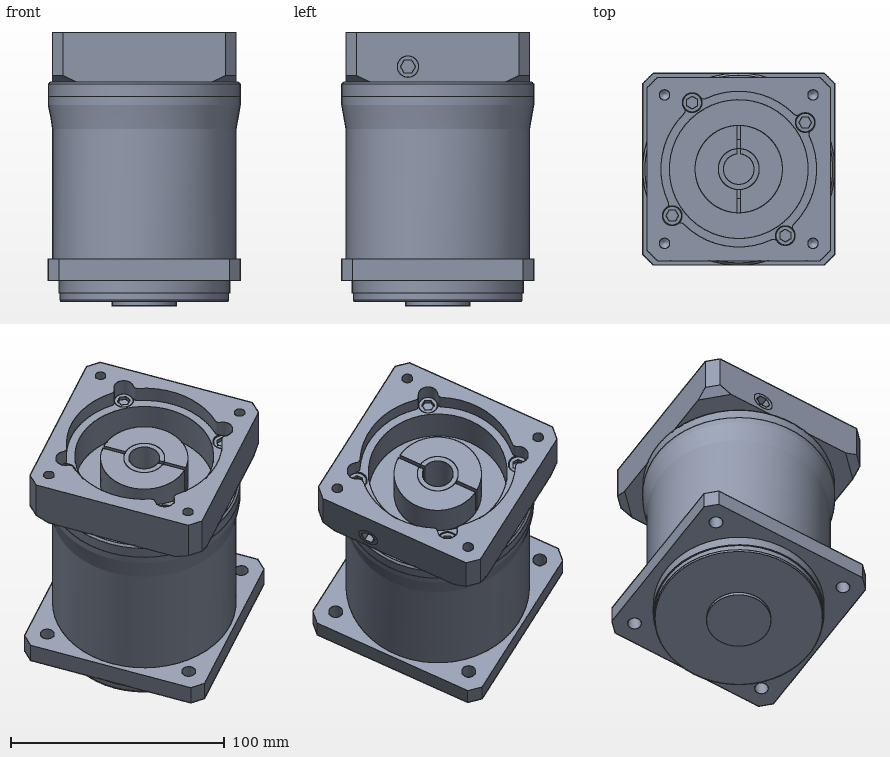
import cadquery as cq
import math

TOTAL_HEIGHT = 128.0
BODY_BOTTOM = 1.9
PILOT_STEP_Z = 6.0
FLANGE_BOTTOM = 11.8
FLANGE_TOP = 22.0
CONE_BOTTOM = 82.7
CONE_TOP = 94.0
ADAPTER_BOTTOM = 97.9
RIM_TOP = 104.8
SPIGOT_TOP = 101.0
LEDGE_Z = TOTAL_HEIGHT - 8.2
COLLAR_TOP = TOTAL_HEIGHT - 9.5

BODY_RADIUS = 43.0
RIM_RADIUS = 44.99
FLANGE_SIDE = 2 * RIM_RADIUS
CORNER_CHAMFER = 5.0
PILOT_RADIUS = 40.0
PILOT_TIP_RADIUS = 39.5
PILOT_TIP_CHAMFER_WIDTH = 0.4
PILOT_TIP_CHAMFER_HEIGHT = 0.9
SHAFT_END_RADIUS = 15.1
FLANGE_HOLE_RADIUS = 3.2
FLANGE_HOLE_SPACING = 70.7
SPIGOT_RADIUS = 32.5
HUB_RADIUS = 13.8
HUB_TOP = SPIGOT_TOP + 3.8

ADAPTER_SIDE = 2 * BODY_RADIUS
RIM_CHAMFER = 1.0
UNDERCUT_HEIGHT = 3.0
UNDERCUT_DEPTH = 4.4
REGISTER_RADIUS = 36.5
MOTOR_HOLE_RADIUS = 2.4
MOTOR_HOLE_SPACING = 69.5
MOTOR_HOLE_DEPTH = 12.8
DRILL_POINT_ANGLE = 118.0

SCREW_COUNT = 4
SCREW_CIRCLE_RADIUS = 38.0
FIRST_SCREW_ANGLE = 35.0
NOTCH_RADIUS = 4.6
NOTCH_FILLET = 2.0
HEAD_RADIUS = 4.4
HEAD_TOP = LEDGE_Z - 0.5
HEAD_GROOVE_BOTTOM = HEAD_TOP - 1.9
HEAD_SOCKET_FLATS = 5.1
HEAD_SOCKET_DEPTH = 3.2

PLUG_RADIUS = 5.0
PLUG_LENGTH = 7.7
PLUG_Y = 14.0
PLUG_Z = 112.0
PLUG_SOCKET_FLATS = 6.1
PLUG_SOCKET_DEPTH = 3.8

COLLAR_RADIUS = 20.5
COLLAR_WEB = 1.9
SLOT_WIDTH = 1.5
BUSHING_RADIUS = 9.6
BUSHING_BORE_RADIUS = 7.2
BUSHING_BOTTOM = 89.6


def cylinder(radius, bottom, top):
    return cq.Workplane("XY").workplane(offset=bottom).circle(radius).extrude(top - bottom)


def chamfered_plate(side, bottom, top):
    plate = cq.Workplane("XY").workplane(offset=bottom).rect(side, side).extrude(top - bottom)
    return plate.edges("|Z").chamfer(CORNER_CHAMFER)


def across_corners(flats):
    """Corner-to-corner size of a hexagon with the given size across its flats."""
    return flats / math.cos(math.pi / 6)


def at_screws(shape):
    """Copies of a shape that is drawn about the Z axis, one on each adapter screw axis."""
    copies = cq.Workplane("XY")
    for index in range(SCREW_COUNT):
        angle = FIRST_SCREW_ANGLE + index * 360 / SCREW_COUNT
        placed = shape.translate((SCREW_CIRCLE_RADIUS, 0, 0)).rotate((0, 0, 0), (0, 0, 1), angle)
        copies = copies.add(placed)
    return copies.combine()


def make_gearbox():
    """Turned body with the output flange, and a spigot and hub on its input end."""
    profile = [
        (0, BODY_BOTTOM),
        (PILOT_TIP_RADIUS - PILOT_TIP_CHAMFER_WIDTH, BODY_BOTTOM),
        (PILOT_TIP_RADIUS, BODY_BOTTOM + PILOT_TIP_CHAMFER_HEIGHT),
        (PILOT_TIP_RADIUS, PILOT_STEP_Z),
        (PILOT_RADIUS, PILOT_STEP_Z),
        (PILOT_RADIUS, FLANGE_BOTTOM),
        (BODY_RADIUS, FLANGE_BOTTOM),
        (BODY_RADIUS, CONE_BOTTOM),
        (RIM_RADIUS, CONE_TOP),
        (RIM_RADIUS, ADAPTER_BOTTOM),
        (SPIGOT_RADIUS, ADAPTER_BOTTOM),
        (SPIGOT_RADIUS, SPIGOT_TOP),
        (0, SPIGOT_TOP),
    ]
    body = cq.Workplane("XZ").polyline(profile).close().revolve(360, (0, 0, 0), (0, 1, 0))
    shaft_end = cylinder(SHAFT_END_RADIUS, 0, BODY_BOTTOM)
    flange = chamfered_plate(FLANGE_SIDE, FLANGE_BOTTOM, FLANGE_TOP)
    flange_holes = (
        cq.Workplane("XY").workplane(offset=FLANGE_BOTTOM)
        .rect(FLANGE_HOLE_SPACING, FLANGE_HOLE_SPACING, forConstruction=True).vertices()
        .circle(FLANGE_HOLE_RADIUS).extrude(FLANGE_TOP - FLANGE_BOTTOM)
    )
    hub = cylinder(HUB_RADIUS, SPIGOT_TOP, HUB_TOP)
    bushing_seat = cylinder(BUSHING_RADIUS, BUSHING_BOTTOM, HUB_TOP)
    return body.union(shaft_end).union(flange).cut(flange_holes).union(hub).cut(bushing_seat)


def make_register_pocket():
    """Motor register with a rounded-in notch for each screw head."""
    register = cylinder(REGISTER_RADIUS, LEDGE_Z, TOTAL_HEIGHT)
    register = register.rotate((0, 0, 0), (0, 0, 1), FIRST_SCREW_ANGLE)
    notch = cylinder(NOTCH_RADIUS, LEDGE_Z, TOTAL_HEIGHT).rotate((0, 0, 0), (0, 0, 1), 180)
    return register.union(at_screws(notch)).edges("|Z").fillet(NOTCH_FILLET)


def make_motor_holes():
    """Blind threaded holes with a drill point."""
    point_depth = MOTOR_HOLE_RADIUS / math.tan(math.radians(DRILL_POINT_ANGLE / 2))
    profile = [
        (0, 0),
        (MOTOR_HOLE_RADIUS, 0),
        (MOTOR_HOLE_RADIUS, -MOTOR_HOLE_DEPTH),
        (0, -MOTOR_HOLE_DEPTH - point_depth),
    ]
    hole = cq.Workplane("XZ").polyline(profile).close().revolve(360, (0, 0, 0), (0, 1, 0)).val()
    return (
        cq.Workplane("XY").workplane(offset=TOTAL_HEIGHT)
        .rect(MOTOR_HOLE_SPACING, MOTOR_HOLE_SPACING, forConstruction=True).vertices()
        .eachpoint(lambda location: hole.moved(location), combine=False)
    )


def plug_outer_plane():
    return cq.Workplane("YZ", origin=(-ADAPTER_SIDE / 2, PLUG_Y, PLUG_Z))


def make_plug_blank():
    """Plug without its socket, which is also the shape of its recess in the adapter."""
    return plug_outer_plane().circle(PLUG_RADIUS).extrude(PLUG_LENGTH)


def make_adapter():
    """Square motor plate on a round rim, bored to fit over the spigot of the gearbox."""
    plate = chamfered_plate(ADAPTER_SIDE, RIM_TOP, TOTAL_HEIGHT)
    corner_edges = plate.faces("<Z").edges("not(#X or #Y)")
    plate = corner_edges.chamfer(UNDERCUT_DEPTH, UNDERCUT_HEIGHT)
    rim = cylinder(RIM_RADIUS, ADAPTER_BOTTOM, RIM_TOP).faces(">Z").edges().chamfer(RIM_CHAMFER)
    cavity = cylinder(SPIGOT_RADIUS, ADAPTER_BOTTOM, LEDGE_Z)
    plate = plate.union(rim).cut(cavity).cut(make_register_pocket())
    plate = plate.cut(make_motor_holes()).cut(make_plug_blank())

    head_space = cylinder(NOTCH_RADIUS, HEAD_GROOVE_BOTTOM, LEDGE_Z)
    head = cylinder(HEAD_RADIUS, HEAD_GROOVE_BOTTOM, HEAD_TOP)
    socket = (
        cq.Workplane("XY").workplane(offset=HEAD_TOP)
        .polygon(6, across_corners(HEAD_SOCKET_FLATS)).extrude(-HEAD_SOCKET_DEPTH)
        .rotate((0, 0, 0), (0, 0, 1), -FIRST_SCREW_ANGLE)
    )
    head = head.cut(socket)
    return plate.cut(at_screws(head_space)).union(at_screws(head))


def make_plug():
    socket = plug_outer_plane().polygon(6, across_corners(PLUG_SOCKET_FLATS)).extrude(PLUG_SOCKET_DEPTH)
    return make_plug_blank().cut(socket)


def make_collar():
    """Clamp collar that sits over the hub, slotted across its top down to a thin joining web."""
    slot_floor = SPIGOT_TOP + COLLAR_WEB
    collar = cylinder(COLLAR_RADIUS, SPIGOT_TOP, COLLAR_TOP)
    hub_recess = cylinder(HUB_RADIUS, SPIGOT_TOP, HUB_TOP)
    bore = cylinder(BUSHING_RADIUS, SPIGOT_TOP, COLLAR_TOP)
    slot = (
        cq.Workplane("XY").workplane(offset=slot_floor)
        .rect(SLOT_WIDTH, 2 * COLLAR_RADIUS).extrude(COLLAR_TOP - slot_floor)
    )
    return collar.cut(hub_recess).cut(bore).cut(slot)


def make_bushing():
    """Reducing bushing with a single slit on its +Y side."""
    bushing = cylinder(BUSHING_RADIUS, BUSHING_BOTTOM, COLLAR_TOP)
    bore = cylinder(BUSHING_BORE_RADIUS, BUSHING_BOTTOM, COLLAR_TOP)
    slit = (
        cq.Workplane("XY").workplane(offset=BUSHING_BOTTOM).center(0, BUSHING_RADIUS / 2)
        .rect(SLOT_WIDTH, BUSHING_RADIUS).extrude(COLLAR_TOP - BUSHING_BOTTOM)
    )
    return bushing.cut(bore).cut(slit)


gearbox = make_gearbox()
adapter = make_adapter()
plug = make_plug()
collar = make_collar()
bushing = make_bushing()

result = cq.Compound.makeCompound(
    [gearbox.val(), adapter.val(), plug.val(), collar.val(), bushing.val()]
)